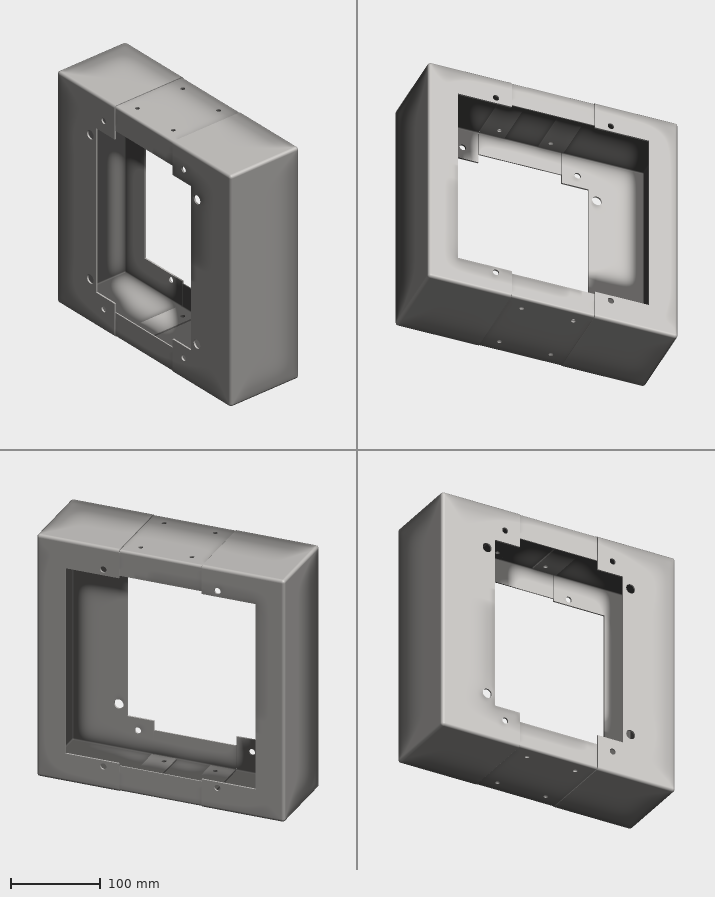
import cadquery as cq
frame_size = 300.0
frame_depth = frame_size / 3
sheet = frame_size / 150
inner_bend = 1.6
outer_bend = inner_bend + sheet
clearance = 0.5
channel_sheet = sheet - clearance

shell_length = frame_size / 3
front_opening_width = 164.0
front_opening_height = 213.0
rear_rim = 35.0
rear_opening = frame_size - 2 * rear_rim
tab_hole_diameter = 7.5
tab_hole_x = 69.0
tab_hole_z = 122.0
mount_hole_diameter = 11.5
mount_hole_x = 92.0
mount_hole_z = 93.5

channel_length = frame_size - 2 * shell_length - 2 * clearance
channel_width = frame_depth - 2 * clearance
channel_height = 31.5
channel_top = frame_size / 2 - clearance
web_hole_diameter = 5.5
web_hole_x = 31.0
web_hole_y = 33.0

plate_gap = 41.0
plate_length = 30.0
plate_width = 89.0
plate_thickness = 2.0


def block(length, width, height):
    return cq.Workplane("XY").box(length, width, height)


def y_holes(diameter, x, z_offset):
    """Pair of cutters along Y at heights +z_offset and -z_offset."""
    return (
        cq.Workplane("XZ")
        .pushPoints([(x, z_offset), (x, -z_offset)])
        .circle(diameter / 2)
        .extrude(frame_depth, both=True)
    )


def web_holes():
    """Four cutters along Z through the webs and plates."""
    return (
        cq.Workplane("XY")
        .rect(2 * web_hole_x, 2 * web_hole_y, forConstruction=True)
        .vertices()
        .circle(web_hole_diameter / 2)
        .extrude(frame_size, both=True)
    )


def half_shell(side):
    """Folded sheet shell closing one end of the frame; side is -1 or +1 along X."""
    outside = block(frame_size, frame_depth, frame_size).edges().fillet(outer_bend)
    cavity_size = frame_size - 2 * sheet
    cavity = block(cavity_size, frame_depth - 2 * sheet, cavity_size).edges().fillet(inner_bend)
    half_space = block(shell_length, frame_depth, frame_size).translate(
        (side * (frame_size - shell_length) / 2, 0, 0)
    )
    front_opening = block(front_opening_width, frame_depth, front_opening_height).translate(
        (0, -frame_depth / 2, 0)
    )
    rear_opening_cut = block(rear_opening, frame_depth, rear_opening).translate(
        (0, frame_depth / 2, 0)
    )
    return (
        outside.cut(cavity)
        .intersect(half_space)
        .cut(front_opening)
        .cut(rear_opening_cut)
        .cut(y_holes(tab_hole_diameter, side * tab_hole_x, tab_hole_z))
        .cut(y_holes(mount_hole_diameter, side * mount_hole_x, mount_hole_z))
    )


def channel(level):
    """U channel bridging the shells; level is -1 at the bottom and +1 at the top."""
    tube_height = 2 * channel_top
    outside = (
        block(channel_length, channel_width, tube_height)
        .edges("|X")
        .fillet(inner_bend + channel_sheet)
    )
    inside = (
        block(channel_length, channel_width - 2 * channel_sheet, tube_height - 2 * channel_sheet)
        .edges("|X")
        .fillet(inner_bend)
    )
    slice_block = block(channel_length, channel_width, channel_height).translate(
        (0, 0, level * (channel_top - channel_height / 2))
    )
    return outside.cut(inside).intersect(slice_block).cut(web_holes())


def plate(side, level):
    """Flat stiffener on a channel web, reaching to about the channel end."""
    x = side * (plate_gap + plate_length) / 2
    z = level * (channel_top - channel_sheet - plate_thickness / 2)
    return block(plate_length, plate_width, plate_thickness).translate((x, 0, z)).cut(web_holes())


signs = (-1, 1)
shells = [half_shell(side).val() for side in signs]
channels = [channel(level).val() for level in signs]
plates = [plate(side, level).val() for side in signs for level in signs]

result = cq.Compound.makeCompound([*shells, *channels, *plates])